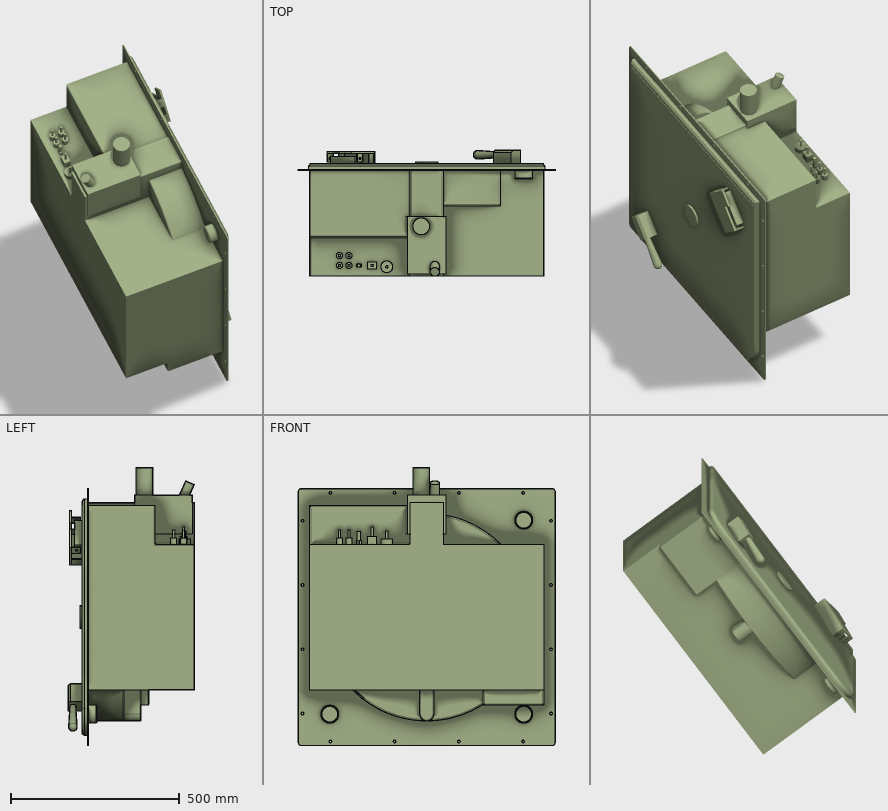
import cadquery as cq
import math


OVERALL_DEPTH = 373.78
OVERALL_HEIGHT = 824.03

PLATE_SIZE = 762.0
PLATE_THICKNESS = 3.0
PLATE_CORNER_RADIUS = 9.0
SCREW_HOLE_DIAMETER = 7.0
SCREW_PITCH = PLATE_SIZE / 4
SCREW_OFFSET = 368.5
SCREWS_PER_SIDE = 4

FRAME_SIZE = 702.0
FRAME_BOTTOM_RADIUS = 80.0
FRAME_STEP_Y = 11.0
FRAME_BEVEL_WIDTH = 5.0
FRAME_BEVEL_HEIGHT = 7.5
DOOR_WIDTH = 692.0
DOOR_HEIGHT = 664.0
DOOR_FACE_Y = 19.5
BADGE_RADIUS = 34.0
BADGE_HEIGHT = 5.5

LATCH_LENGTH = 128.0
LATCH_WIDTH = 73.5
LATCH_CENTRE_X = -225.0
LATCH_CENTRE_Z = 225.5
LATCH_ANGLE = 45.0
LATCH_FACE_Y = 56.0
LATCH_COVER_THICKNESS = 6.0
LATCH_WALL = 3.0
LATCH_EAR_Y = 24.0
LATCH_EAR_HOLE_Y = 35.0
LATCH_EAR_HOLE_DIAMETER = 6.0
LATCH_TONGUE_LENGTH = 51.0
LATCH_TONGUE_REACH = 27.0
LOCK_INSET = 13.0
LOCK_RECESS = 2.0
LOCK_LENGTH = 103.0
LOCK_WIDTH = 25.0
LOCK_FACE_Y = 41.0

FRONT_Y = 59.78
HANDLE_LENGTH = 75.0
HANDLE_WIDTH = 40.0
HANDLE_CENTRE_X = 238.0
HANDLE_CENTRE_Z = -238.0
HANDLE_ANGLE = 45.0
HANDLE_CHAMFER = 7.0
LEVER_LENGTH = 123.0
LEVER_Y = 46.0
LEVER_ROOT_RADIUS = 7.0
LEVER_BALL_RADIUS = 13.0

BACK_Y = FRONT_Y - OVERALL_DEPTH
BOX_WIDTH = 695.0
BOX_HEIGHT = 431.8
BOX_TOP = BOX_HEIGHT / 2
BOX_LEFT = -BOX_WIDTH / 2
BOX_RIGHT = BOX_WIDTH / 2
BEND_RADIUS = 3.8

SHOULDER_TOP = 331.5
SHOULDER_BACK_Y = -198.0

TOWER_WIDTH = 99.0
TOWER_TOP = 339.5

FOOT_LEFT = 167.5
FOOT_BOTTOM = -261.0
FOOT_BACK_Y = -179.0

DRUM_RADIUS = 307.8
DRUM_BACK_Y = -106.0
DRUM_EDGE_RADIUS = 4.5
CHANNEL_RADIUS = 21.0
CHANNEL_BACK_Y = -156.0
CHANNEL_EDGE_RADIUS = 3.0

BOSS_RADIUS = 26.5
BOSS_DEPTH = 26.0
BOSS_CHAMFER = 3.0
BOSS_OFFSET = 287.5

CONNECTOR_ROW_Y = -282.0
CONNECTOR_SECOND_ROW_Y = -253.0
STUB_RADIUS = 3.5
ROUND_CONNECTOR_XS = (-258.5, -230.5)
ROUND_CONNECTOR_RADIUS = 9.0
ROUND_CONNECTOR_TOP = 234.0
ROUND_CONNECTOR_STUB_TOP = 259.0
SMALL_SOCKET_X = -201.5
SMALL_SOCKET_SIZE = (15.0, 9.0)
SMALL_SOCKET_TOP = 228.0
SMALL_SOCKET_STUB_RADIUS = 5.0
SMALL_SOCKET_STUB_TOP = 253.5
LARGE_SOCKET_X = -162.0
LARGE_SOCKET_SIZE = (26.5, 20.0)
LARGE_SOCKET_TOP = 239.0
LARGE_SOCKET_STUB_TOP = 267.0
POWER_INLET_X = -118.5
POWER_INLET_Y = -286.0
POWER_INLET_RADIUS = 17.5
POWER_INLET_TOP = 231.0
POWER_INLET_STUB_TOP = 256.0

MANIFOLD_WIDTH = 115.0
MANIFOLD_FRONT_Y = -137.0
MANIFOLD_BACK_Y = -308.0
MANIFOLD_BOTTOM = 247.0
MANIFOLD_TOP = 362.0
OUTLET_X = -16.5
OUTLET_Y = -166.0
OUTLET_RADIUS = 25.0
OUTLET_TOP = OVERALL_HEIGHT - PLATE_SIZE / 2
DRAIN_X = 24.0
DRAIN_Y = -285.0
DRAIN_RADIUS = 14.0
DRAIN_LENGTH = 39.8
DRAIN_TILT = 24.0

TOLERANCE = 0.5


def block(x_range, y_range, z_range):
    """Box spanning the given ranges."""
    sizes = [high - low for low, high in (x_range, y_range, z_range)]
    corner = (x_range[0], y_range[0], z_range[0])
    return cq.Workplane("XY").box(*sizes, centered=False).translate(corner)


def facing_front(y):
    """XZ sketch plane at the given Y whose extrusions go toward +Y; its local x is -X."""
    return cq.Workplane(cq.Plane(origin=(0, y, 0), xDir=(-1, 0, 0), normal=(0, 1, 0)))


def facing_back(y):
    """XZ sketch plane at the given Y whose extrusions go toward -Y; its local x is X."""
    return cq.Workplane("XZ", origin=(0, y, 0))


def near_line(start, end):
    """Selector for the edges whose centre lies on the line between two points."""
    low = [min(a, b) - TOLERANCE for a, b in zip(start, end)]
    high = [max(a, b) + TOLERANCE for a, b in zip(start, end)]
    return cq.selectors.BoxSelector(tuple(low), tuple(high))


def make_plate():
    plate = facing_front(0).rect(PLATE_SIZE, PLATE_SIZE).extrude(PLATE_THICKNESS)
    return plate.edges("|Y").fillet(PLATE_CORNER_RADIUS)


def make_screw_holes():
    first = -SCREW_PITCH * (SCREWS_PER_SIDE - 1) / 2
    points = []
    for index in range(SCREWS_PER_SIDE):
        along = first + index * SCREW_PITCH
        for across in (-SCREW_OFFSET, SCREW_OFFSET):
            points.append((along, across))
            points.append((across, along))
    return facing_front(0).pushPoints(points).circle(SCREW_HOLE_DIAMETER / 2).extrude(PLATE_THICKNESS)


def make_door():
    frame_height = FRAME_STEP_Y + FRAME_BEVEL_HEIGHT
    frame = facing_front(0).rect(FRAME_SIZE, FRAME_SIZE).extrude(frame_height)
    frame = frame.edges("|Y and <Z").fillet(FRAME_BOTTOM_RADIUS)
    frame = frame.faces(">Y").chamfer(FRAME_BEVEL_HEIGHT, FRAME_BEVEL_WIDTH)
    panel = facing_front(0).rect(DOOR_WIDTH, DOOR_HEIGHT).extrude(DOOR_FACE_Y)
    panel = panel.edges("|Y and <Z").fillet(FRAME_BOTTOM_RADIUS)
    badge = facing_front(0).circle(BADGE_RADIUS).extrude(DOOR_FACE_Y + BADGE_HEIGHT)
    return frame.union(panel).union(badge)


def make_latch():
    """Latch modelled with its length along X and its open side up, and then turned about Y.

    Each end wall has an ear beside the open side, a window in the middle and a post at the closed side.
    """
    end = LATCH_LENGTH / 2
    inner_end = end - LATCH_WALL
    side = LATCH_WIDTH / 2
    post_top = -LATCH_WIDTH / 6
    ear_bottom = LATCH_WIDTH / 6
    tongue_top = side + LATCH_TONGUE_REACH
    lock_left = -end + LOCK_INSET
    lock_top = side - LOCK_RECESS
    cover_depth = (LATCH_FACE_Y - LATCH_COVER_THICKNESS, LATCH_FACE_Y)

    latch = block((-end, end), cover_depth, (-side, side))
    pieces = [
        block((end - LATCH_TONGUE_LENGTH, end), cover_depth, (-side, tongue_top)),
        block((-end, end), (0, LATCH_FACE_Y), (-side, -side + LATCH_WALL)),
    ]
    for wall in ((-end, -inner_end), (inner_end, end)):
        pieces.append(block(wall, (0, LATCH_FACE_Y), (-side, post_top)))
        pieces.append(block(wall, (LATCH_EAR_Y, LATCH_FACE_Y), (ear_bottom, side)))
    for piece in pieces:
        latch = latch.union(piece)

    ear_middle = (ear_bottom + side) / 2
    ear_holes = cq.Workplane("YZ", origin=(-end, LATCH_EAR_HOLE_Y, ear_middle))
    ear_holes = ear_holes.circle(LATCH_EAR_HOLE_DIAMETER / 2).extrude(LATCH_LENGTH)
    lock_case = block(
        (lock_left, lock_left + LOCK_LENGTH),
        (0, LOCK_FACE_Y),
        (lock_top - LOCK_WIDTH, lock_top),
    )
    latch = latch.cut(ear_holes).union(lock_case)
    latch = latch.rotate((0, 0, 0), (0, 1, 0), -LATCH_ANGLE)
    return latch.translate((LATCH_CENTRE_X, 0, LATCH_CENTRE_Z))


def make_handle():
    """Handle block with its lever, modelled pointing toward -X and then turned about Y."""
    body = facing_front(0).rect(HANDLE_LENGTH, HANDLE_WIDTH).extrude(FRONT_Y)
    body = body.edges(">Y and >Z").chamfer(HANDLE_CHAMFER)
    lever = cq.Solid.makeCone(
        LEVER_ROOT_RADIUS,
        LEVER_BALL_RADIUS,
        LEVER_LENGTH,
        pnt=cq.Vector(0, LEVER_Y, 0),
        dir=cq.Vector(-1, 0, 0),
    )
    ball = cq.Workplane("XY").sphere(LEVER_BALL_RADIUS).translate((-LEVER_LENGTH, LEVER_Y, 0))
    handle = body.union(cq.Workplane(lever)).union(ball)
    handle = handle.rotate((0, 0, 0), (0, 1, 0), -HANDLE_ANGLE)
    return handle.translate((HANDLE_CENTRE_X, 0, HANDLE_CENTRE_Z))


def make_enclosure():
    """Box with its shoulder and tower, and bends along the edges of the notch between them."""
    tower_side = TOWER_WIDTH / 2
    box = block((BOX_LEFT, BOX_RIGHT), (BACK_Y, 0), (-BOX_TOP, BOX_TOP))
    shoulder = block((BOX_LEFT, 0), (SHOULDER_BACK_Y, 0), (0, SHOULDER_TOP))
    tower = block((-tower_side, tower_side), (BACK_Y, 0), (0, TOWER_TOP))
    enclosure = box.union(shoulder).union(tower).clean()
    enclosure = enclosure.cut(make_manifold_block())

    slot_side = -MANIFOLD_WIDTH / 2
    bends = [
        ((BOX_LEFT, SHOULDER_BACK_Y, SHOULDER_TOP), (slot_side, SHOULDER_BACK_Y, SHOULDER_TOP)),
        ((BOX_LEFT, SHOULDER_BACK_Y, BOX_TOP), (BOX_LEFT, SHOULDER_BACK_Y, SHOULDER_TOP)),
        ((slot_side, SHOULDER_BACK_Y, MANIFOLD_BOTTOM), (slot_side, SHOULDER_BACK_Y, SHOULDER_TOP)),
        ((slot_side, SHOULDER_BACK_Y, SHOULDER_TOP), (slot_side, MANIFOLD_FRONT_Y, SHOULDER_TOP)),
        ((BOX_LEFT, BACK_Y, BOX_TOP), (BOX_LEFT, SHOULDER_BACK_Y, BOX_TOP)),
        ((BOX_LEFT, SHOULDER_BACK_Y, BOX_TOP), (-tower_side, SHOULDER_BACK_Y, BOX_TOP)),
        ((-tower_side, BACK_Y, BOX_TOP), (-tower_side, SHOULDER_BACK_Y, BOX_TOP)),
        ((-tower_side, MANIFOLD_FRONT_Y, TOWER_TOP), (-tower_side, 0, TOWER_TOP)),
        ((tower_side, MANIFOLD_FRONT_Y, TOWER_TOP), (tower_side, 0, TOWER_TOP)),
        ((-tower_side, MANIFOLD_FRONT_Y, SHOULDER_TOP), (-tower_side, 0, SHOULDER_TOP)),
    ]
    edges = enclosure.edges(near_line(*bends[0]))
    for bend in bends[1:]:
        edges = edges.add(enclosure.edges(near_line(*bend)))
    return edges.fillet(BEND_RADIUS)


def make_foot():
    foot = block((FOOT_LEFT, BOX_RIGHT), (FOOT_BACK_Y, 0), (FOOT_BOTTOM, 0))
    return foot.faces("<Y").edges("not >Z").fillet(BEND_RADIUS)


def make_drum():
    drum = facing_back(0).circle(DRUM_RADIUS).extrude(-DRUM_BACK_Y)
    return drum.faces("<Y").edges().fillet(DRUM_EDGE_RADIUS)


def make_channel():
    bottom_centre = CHANNEL_RADIUS - DRUM_RADIUS
    channel = (
        facing_back(0)
        .moveTo(-CHANNEL_RADIUS, 0)
        .lineTo(-CHANNEL_RADIUS, bottom_centre)
        .threePointArc((0, -DRUM_RADIUS), (CHANNEL_RADIUS, bottom_centre))
        .lineTo(CHANNEL_RADIUS, 0)
        .close()
        .extrude(-CHANNEL_BACK_Y)
    )
    return channel.faces("<Y").edges("not >Z").fillet(CHANNEL_EDGE_RADIUS)


def make_bosses():
    centres = [
        (BOSS_OFFSET, BOSS_OFFSET),
        (BOSS_OFFSET, -BOSS_OFFSET),
        (-BOSS_OFFSET, -BOSS_OFFSET),
    ]
    bosses = facing_back(0).pushPoints(centres).circle(BOSS_RADIUS).extrude(BOSS_DEPTH)
    return bosses.faces("<Y").edges().chamfer(BOSS_CHAMFER)


def round_pin(x, y, radius, top):
    """Upright cylinder rising from inside the box to the given height."""
    return cq.Workplane("XY").center(x, y).circle(radius).extrude(top)


def square_pin(x, y, size, top):
    """Upright rectangular post rising from inside the box to the given height."""
    return cq.Workplane("XY").center(x, y).rect(*size).extrude(top)


def make_connectors():
    pieces = []
    for x in ROUND_CONNECTOR_XS:
        for y in (CONNECTOR_ROW_Y, CONNECTOR_SECOND_ROW_Y):
            pieces.append(round_pin(x, y, ROUND_CONNECTOR_RADIUS, ROUND_CONNECTOR_TOP))
            pieces.append(round_pin(x, y, STUB_RADIUS, ROUND_CONNECTOR_STUB_TOP))
    pieces += [
        square_pin(SMALL_SOCKET_X, CONNECTOR_ROW_Y, SMALL_SOCKET_SIZE, SMALL_SOCKET_TOP),
        round_pin(SMALL_SOCKET_X, CONNECTOR_ROW_Y, SMALL_SOCKET_STUB_RADIUS, SMALL_SOCKET_STUB_TOP),
        square_pin(LARGE_SOCKET_X, CONNECTOR_ROW_Y, LARGE_SOCKET_SIZE, LARGE_SOCKET_TOP),
        round_pin(LARGE_SOCKET_X, CONNECTOR_ROW_Y, STUB_RADIUS, LARGE_SOCKET_STUB_TOP),
        round_pin(POWER_INLET_X, POWER_INLET_Y, POWER_INLET_RADIUS, POWER_INLET_TOP),
        round_pin(POWER_INLET_X, POWER_INLET_Y, STUB_RADIUS, POWER_INLET_STUB_TOP),
    ]
    return pieces


def make_manifold_block():
    return block(
        (-MANIFOLD_WIDTH / 2, MANIFOLD_WIDTH / 2),
        (MANIFOLD_BACK_Y, MANIFOLD_FRONT_Y),
        (MANIFOLD_BOTTOM, MANIFOLD_TOP),
    )


def make_manifold():
    """Manifold block with its upright outlet and its leaning drain pipe."""
    outlet_height = OUTLET_TOP - MANIFOLD_BOTTOM
    outlet = cq.Workplane("XY", origin=(OUTLET_X, OUTLET_Y, MANIFOLD_BOTTOM))
    outlet = outlet.circle(OUTLET_RADIUS).extrude(outlet_height)
    tilt = math.radians(DRAIN_TILT)
    drain_plane = cq.Plane(
        origin=(DRAIN_X, DRAIN_Y, MANIFOLD_TOP),
        xDir=(1, 0, 0),
        normal=(0, -math.sin(tilt), math.cos(tilt)),
    )
    drain = cq.Workplane(drain_plane).circle(DRAIN_RADIUS).extrude(DRAIN_LENGTH)
    root = cq.Workplane(drain_plane).circle(DRAIN_RADIUS).extrude(-DRAIN_RADIUS)
    return make_manifold_block().union(outlet).union(drain).union(root)


def make_housing():
    housing = make_plate().cut(make_screw_holes())
    parts = [make_enclosure(), make_door(), make_latch(), make_handle(), make_foot()]
    parts += [make_drum(), make_channel(), make_bosses(), *make_connectors()]
    for part in parts:
        housing = housing.union(part)
    return housing


housing = make_housing()
manifold = make_manifold()
result = cq.Compound.makeCompound([housing.val(), manifold.val()])